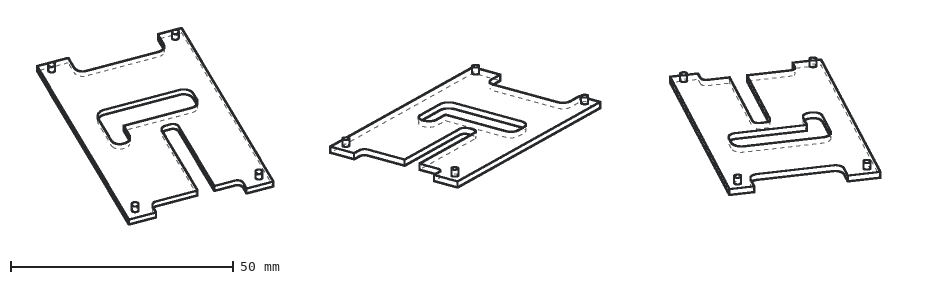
import cadquery as cq

LENGTH = 56.0
WIDTH = 35.0
THICKNESS = 1.5

TOTAL_HEIGHT = 3.2
PIN_HEIGHT = TOTAL_HEIGHT - THICKNESS
PIN_DIAMETER = 1.55
PIN_INSET = 2.5

LEFT_NOTCH_DEPTH = 5.6
LEFT_NOTCH_BOTTOM = 7.55
LEFT_NOTCH_TOP = 29.25
LEFT_NOTCH_RADIUS = 2.0

RIGHT_NOTCH_DEPTH = 3.5
RIGHT_NOTCH_BOTTOM = 6.6
RIGHT_NOTCH_TOP = 28.5
RIGHT_NOTCH_RADIUS = 1.35

SLOT_END = 29.45
SLOT_BOTTOM = 18.05
SLOT_TOP = 22.05
SLOT_RADIUS = 1.35

WINDOW_LEFT = 19.4
WINDOW_BOTTOM = 6.2
WINDOW_TOP = LEFT_NOTCH_TOP
STEM_RIGHT = 26.0
FOOT_RIGHT = 31.6
FOOT_TOP = 10.65
WINDOW_LEFT_RADIUS = 2.35
WINDOW_RIGHT_RADIUS = 2.0


def block(left, right, bottom, top):
    """Plate-thick block between the given X and Y limits."""
    return (
        cq.Workplane("XY")
        .rect(right - left, top - bottom)
        .extrude(THICKNESS)
        .translate(((left + right) / 2, (bottom + top) / 2, 0))
    )


def left_notch():
    cutter = block(0, LEFT_NOTCH_DEPTH, LEFT_NOTCH_BOTTOM, LEFT_NOTCH_TOP)
    return cutter.edges("|Z and >X").fillet(LEFT_NOTCH_RADIUS)


def right_notch():
    cutter = block(LENGTH - RIGHT_NOTCH_DEPTH, LENGTH, RIGHT_NOTCH_BOTTOM, RIGHT_NOTCH_TOP)
    return cutter.edges("|Z and <X").fillet(RIGHT_NOTCH_RADIUS)


def slot():
    cutter = block(SLOT_END, LENGTH, SLOT_BOTTOM, SLOT_TOP)
    return cutter.edges("|Z and <X").fillet(SLOT_RADIUS)


def window():
    stem = block(WINDOW_LEFT, STEM_RIGHT, WINDOW_BOTTOM, WINDOW_TOP)
    stem = stem.edges("|Z and <X").fillet(WINDOW_LEFT_RADIUS)
    stem = stem.edges("|Z and >X and >Y").fillet(WINDOW_RIGHT_RADIUS)
    stem_middle = (WINDOW_LEFT + STEM_RIGHT) / 2
    foot = block(stem_middle, FOOT_RIGHT, WINDOW_BOTTOM, FOOT_TOP)
    foot = foot.edges("|Z and >X").fillet(WINDOW_RIGHT_RADIUS)
    return stem.union(foot)


def make_plate():
    plate = block(0, LENGTH, 0, WIDTH)
    for cutter in (left_notch(), right_notch(), slot(), window()):
        plate = plate.cut(cutter)
    return plate


def make_pin(x, y):
    return (
        cq.Workplane("XY")
        .circle(PIN_DIAMETER / 2)
        .extrude(PIN_HEIGHT)
        .translate((x, y, THICKNESS))
    )


plate = make_plate()
pins = [
    make_pin(x, y).val()
    for x in (PIN_INSET, LENGTH - PIN_INSET)
    for y in (PIN_INSET, WIDTH - PIN_INSET)
]

result = cq.Compound.makeCompound([plate.val(), *pins])